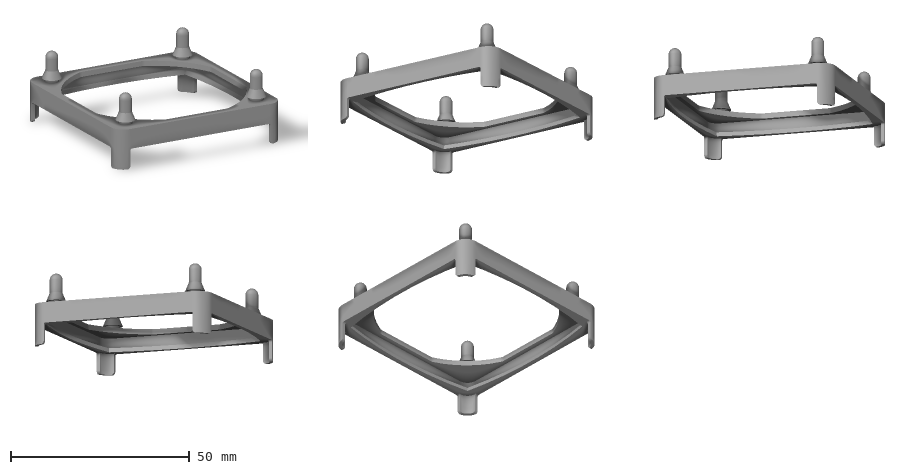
import cadquery as cq
import math

frame_size = 53.0
corner_radius = 4.0
wall = 1.0
frame_bottom = 6.0
deck_top = 11.85
deck_thickness = 1.5

opening_square = 48.0
opening_radius = 26.0
opening_blend = 2.0

lip_height = 1.2
lip_bow_radius = 120.0
lip_mid_depth = 0.4
lip_draft = 10.0

leg_tip_round = 0.9
leg_root_fillet = 0.5

pin_offset = 21.0
neck_diameter = 4.0
neck_height = 1.0
barb_diameter = 5.6
barb_height = 2.4
shank_diameter = 3.6
overall_height = 20.75

half_size = frame_size / 2
corner_center = half_size - corner_radius
cavity_size = frame_size - 2 * wall
cavity_corner_radius = corner_radius - wall
QUARTER_TURNS = (0, 90, 180, 270)


def rounded_square(size, radius, bottom, top):
    block = cq.Workplane("XY").workplane(offset=bottom).rect(size, size).extrude(top - bottom)
    return block.edges("|Z").fillet(radius)


def disc(radius, bottom, top, center=(0, 0), draft=0.0):
    """Round block that widens upward by the draft angle."""
    outline = cq.Workplane("XY").workplane(offset=bottom).center(*center).circle(radius)
    return outline.extrude(top - bottom, taper=-draft)


def make_opening():
    square = cq.Workplane("XY").workplane(offset=frame_bottom)
    square = square.rect(opening_square, opening_square).extrude(deck_top - frame_bottom)
    opening = square.intersect(disc(opening_radius, frame_bottom, deck_top))
    return opening.edges("|Z").fillet(opening_blend)


def make_lip():
    """Ring whose four inner faces bow outward, so the lip is narrowest at mid-side.

    The faces lean outward toward the top.
    """
    top = frame_bottom + lip_height
    lip = rounded_square(cavity_size, cavity_corner_radius, frame_bottom, top)
    bow_center = lip_bow_radius + lip_mid_depth - cavity_size / 2
    clearance = rounded_square(cavity_size, cavity_corner_radius, frame_bottom, top)
    for center in ((bow_center, 0), (-bow_center, 0), (0, bow_center), (0, -bow_center)):
        clearance = clearance.intersect(disc(lip_bow_radius, frame_bottom, top, center, lip_draft))
    return lip.cut(clearance)


def make_frame():
    frame = rounded_square(frame_size, corner_radius, frame_bottom, deck_top)
    cavity_top = deck_top - deck_thickness
    frame = frame.cut(rounded_square(cavity_size, cavity_corner_radius, frame_bottom, cavity_top))
    return frame.cut(make_opening()).union(make_lip())


def make_root_fillet():
    """Concave fillet between the end face of the +X +Y leg at Y = corner_center and the frame."""
    arc_inset = leg_root_fillet * (1 - math.sqrt(0.5))
    return (
        cq.Workplane("YZ", origin=(half_size - wall, 0, 0))
        .moveTo(corner_center, frame_bottom)
        .lineTo(corner_center - leg_root_fillet, frame_bottom)
        .threePointArc(
            (corner_center - arc_inset, frame_bottom - arc_inset),
            (corner_center, frame_bottom - leg_root_fillet),
        )
        .close()
        .extrude(wall)
    )


def make_leg():
    """Quarter-ring leg under the +X +Y corner."""
    center = (corner_center, corner_center)
    leg = disc(corner_radius, 0, frame_bottom, center)
    leg = leg.cut(disc(cavity_corner_radius, 0, frame_bottom, center))
    quadrant = cq.Workplane("XY").box(corner_radius, corner_radius, frame_bottom, centered=False)
    leg = leg.intersect(quadrant.translate((corner_center, corner_center, 0)))
    leg = leg.faces("<Z").edges("<X or <Y").fillet(leg_tip_round)
    fillet = make_root_fillet()
    mirrored_fillet = fillet.mirror("YZ").rotate((0, 0, 0), (0, 0, 1), -90)
    return leg.union(fillet).union(mirrored_fillet)


def make_pin():
    """Snap pin with a neck, a tapered barb and a round-ended shank."""
    neck_radius = neck_diameter / 2
    shank_radius = shank_diameter / 2
    barb_bottom = deck_top + neck_height
    barb_top = barb_bottom + barb_height
    dome_base = overall_height - shank_radius
    dome_middle = shank_radius * math.sqrt(0.5)
    profile = (
        cq.Workplane("XZ")
        .moveTo(0, deck_top)
        .lineTo(neck_radius, deck_top)
        .lineTo(neck_radius, barb_bottom)
        .lineTo(barb_diameter / 2, barb_bottom)
        .lineTo(shank_radius, barb_top)
        .lineTo(shank_radius, dome_base)
        .threePointArc((dome_middle, dome_base + dome_middle), (0, overall_height))
        .close()
    )
    return profile.revolve(360, (0, 0, 0), (0, 1, 0)).translate((pin_offset, pin_offset, 0))


result = make_frame()
corner_parts = (make_leg(), make_pin())
for angle in QUARTER_TURNS:
    for corner_part in corner_parts:
        result = result.union(corner_part.rotate((0, 0, 0), (0, 0, 1), angle))